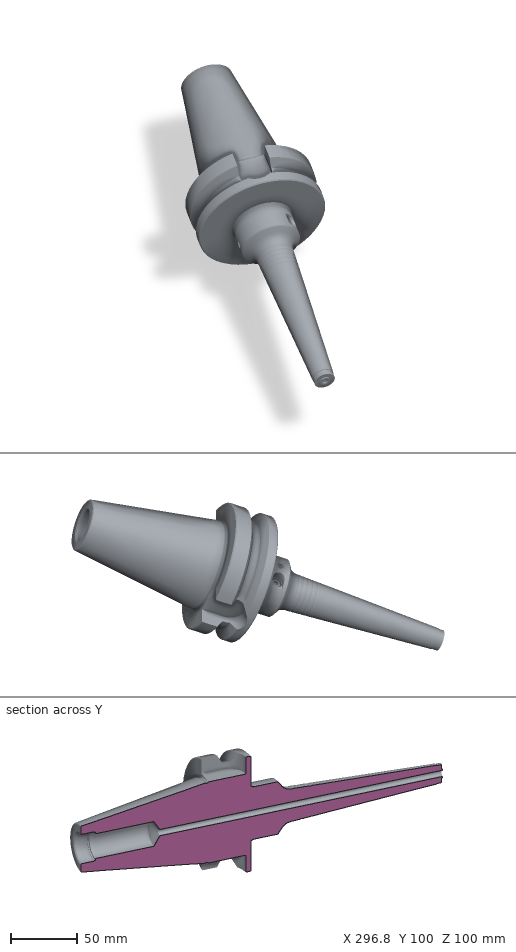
import cadquery as cq
import math


taper_length = 101.8
gauge_dia = 69.85
taper_ratio = 7 / 24
small_end_chamfer = 0.7
small_end_dia = gauge_dia - taper_ratio * taper_length
relief_dia = 68.9
relief_start = 1.5
relief_fillet = 1.2

flange_back = 3.0
flange_front = 38.0
flange_dia = 100.0
flange_chamfer = 0.8
groove_centre = 23.0
groove_floor_dia = 85.2
groove_floor_width = 6.0
groove_flank_angle = 30.0

slot_width = 25.4
slot_floor_height = 35.3
slot_end = 33.4

collar_dia = 47.6
collar_front = 40.0
body_dia = 45.8
body_front = 60.4
body_chamfer = 0.6
shoulder_dia = 37.0
shoulder_front = 63.0
shoulder_arc_x = 65.0
shoulder_arc_dia = 32.6
neck_start = 69.2

neck_start_dia = 28.9
neck_end = 189.8
neck_end_dia = 16.7
tip_dia = 16.0
tip_face = 194.2
nose_dia = 8.4
total_front = 195.0

ring_groove_count = 5
ring_groove_start = 70.0
ring_groove_width = 2.0
ring_groove_pitch = 4.0
ring_groove_depth = 0.2

mouth_dia = 25.0
mouth_depth = 11.0
mouth_chamfer = 0.9
thread_dia = 24.0
bore_dia = 21.0
bore_entry_dia = 21.3
thread_length = 1.0
bore_depth = 60.0
bore_point_angle = 118.0
through_dia = 5.0

screw_x = 51.8
screw_height = 11.8
pocket_width = 9.6
pocket_floor = 15.4
head_dia = 8.4
head_recess = 0.5
head_chamfer = 1.0
head_bore_dia = 9.0
head_bore_depth = 5.0
socket_across_flats = 4.0
socket_depth = 2.0
set_screw_z = -1.1
set_screw_hole_dia = 5.0
set_screw_recess = 1.0
set_screw_seat = 0.5
set_screw_dia = 4.0
set_screw_socket = 2.0
set_screw_socket_depth = 1.5


def revolve_about_x(points):
    """Solid of revolution from (x, radius) points; the outline is closed."""
    return cq.Workplane("XY").polyline(points).close().revolve(360, (0, 0, 0), (1, 0, 0))


def rod(start, end, diameter):
    """Cylinder along X."""
    return cq.Workplane("YZ", origin=(start, 0, 0)).circle(diameter / 2).extrude(end - start)


def neck_radius(x):
    """Radius of the tapered neck at x."""
    share = (x - neck_start) / (neck_end - neck_start)
    return (neck_start_dia + share * (neck_end_dia - neck_start_dia)) / 2


def make_outer_body():
    flange_radius = flange_dia / 2
    floor_radius = groove_floor_dia / 2
    floor_half = groove_floor_width / 2
    flank_run = (flange_radius - floor_radius) * math.tan(math.radians(groove_flank_angle))
    small_end_radius = small_end_dia / 2
    chamfered_radius = small_end_radius + taper_ratio * small_end_chamfer / 2
    relief_radius = relief_dia / 2
    body_radius = body_dia / 2
    fillet_sag = relief_fillet * (1 - math.sqrt(0.5))
    profile = (
        cq.Workplane("XY")
        .moveTo(-taper_length, 0)
        .lineTo(-taper_length, small_end_radius - small_end_chamfer)
        .lineTo(-taper_length + small_end_chamfer, chamfered_radius)
        .lineTo(0, gauge_dia / 2)
        .lineTo(relief_start, relief_radius)
        .lineTo(flange_back - relief_fillet, relief_radius)
        .threePointArc(
            (flange_back - fillet_sag, relief_radius + fillet_sag),
            (flange_back, relief_radius + relief_fillet),
        )
        .lineTo(flange_back, flange_radius - flange_chamfer)
        .lineTo(flange_back + flange_chamfer, flange_radius)
        .lineTo(groove_centre - floor_half - flank_run, flange_radius)
        .lineTo(groove_centre - floor_half, floor_radius)
        .lineTo(groove_centre + floor_half, floor_radius)
        .lineTo(groove_centre + floor_half + flank_run, flange_radius)
        .lineTo(flange_front - flange_chamfer, flange_radius)
        .lineTo(flange_front, flange_radius - flange_chamfer)
        .lineTo(flange_front, collar_dia / 2)
        .lineTo(collar_front, body_radius)
        .lineTo(body_front - body_chamfer, body_radius)
        .lineTo(body_front, body_radius - body_chamfer)
        .lineTo(shoulder_front, shoulder_dia / 2)
        .threePointArc((shoulder_arc_x, shoulder_arc_dia / 2), (neck_start, neck_start_dia / 2))
        .lineTo(neck_end, neck_end_dia / 2)
        .lineTo(neck_end, tip_dia / 2)
        .lineTo(tip_face, tip_dia / 2)
        .lineTo(tip_face, nose_dia / 2)
        .lineTo(total_front, nose_dia / 2)
        .lineTo(total_front, 0)
        .close()
    )
    return profile.revolve(360, (0, 0, 0), (1, 0, 0))


def make_drive_slot(side):
    """Round-ended slot cutter; side is +1 for the top and -1 for the bottom."""
    radius = slot_width / 2
    height = flange_dia / 2
    base = cq.Workplane("XY", origin=(0, 0, side * slot_floor_height))
    outline = (
        base.moveTo(0, -radius)
        .lineTo(slot_end - radius, -radius)
        .threePointArc((slot_end, 0), (slot_end - radius, radius))
        .lineTo(0, radius)
        .close()
    )
    return outline.extrude(side * height)


def make_ring_groove(start):
    """Shallow V-groove ring cutter that begins at x = start."""
    middle = start + ring_groove_width / 2
    end = start + ring_groove_width
    clear = body_dia / 2
    return revolve_about_x([
        (start, clear),
        (start, neck_radius(start)),
        (middle, neck_radius(middle) - ring_groove_depth),
        (end, neck_radius(end)),
        (end, clear),
    ])


def make_axial_bore():
    """Stepped rear bore with a drill-point floor, and the hole through to the nose."""
    step_x = -taper_length + mouth_depth
    thread_end = step_x + thread_length
    bore_end = -taper_length + bore_depth
    point_length = bore_dia / 2 / math.tan(math.radians(bore_point_angle / 2))
    rear = revolve_about_x([
        (-taper_length, 0),
        (-taper_length, mouth_dia / 2 + mouth_chamfer),
        (-taper_length + mouth_chamfer, mouth_dia / 2),
        (step_x, mouth_dia / 2),
        (step_x, thread_dia / 2),
        (thread_end, thread_dia / 2),
        (thread_end, bore_entry_dia / 2),
        (thread_end + thread_length, bore_dia / 2),
        (bore_end, bore_dia / 2),
        (bore_end + point_length, 0),
    ])
    return rear.union(rod(-taper_length, total_front, through_dia))


def hex_socket(across_flats, origin, depth):
    """Hexagonal prism sunk along +Y from origin."""
    corner_dia = across_flats / math.cos(math.radians(30))
    return cq.Workplane("XZ", origin=origin).polygon(6, corner_dia).extrude(-depth)


def make_clamp_pocket():
    """U-shaped pocket on the -Y side, open towards -Z."""
    radius = pocket_width / 2
    reach = body_dia / 2
    depth = reach - pocket_floor
    outline = (
        cq.Workplane("XZ", origin=(screw_x, -pocket_floor, -screw_height))
        .moveTo(-radius, -reach)
        .lineTo(-radius, 0)
        .threePointArc((0, radius), (radius, 0))
        .lineTo(radius, -reach)
        .close()
    )
    return outline.extrude(depth)


def make_head_bore():
    """Counterbore sunk into the pocket floor for the clamp screw head."""
    bore = cq.Workplane("XZ", origin=(screw_x, -pocket_floor, -screw_height))
    return bore.circle(head_bore_dia / 2).extrude(-head_bore_depth)


def make_clamp_screw():
    """Screw head seated in the counterbore, with a hexagonal socket."""
    bottom = cq.Workplane("XZ", origin=(screw_x, head_bore_depth - pocket_floor, -screw_height))
    head = bottom.circle(head_dia / 2).extrude(head_bore_depth - head_recess)
    head = head.faces("<Y").chamfer(head_chamfer)
    top = (screw_x, head_recess - pocket_floor, -screw_height)
    return head.cut(hex_socket(socket_across_flats, top, socket_depth))


def make_set_screw_recess():
    """Stepped round recess on the -Y side ending in the set screw's hexagonal socket."""
    surface = body_dia / 2
    floor = (screw_x, set_screw_recess - surface, set_screw_z)
    recess = cq.Workplane("XZ", origin=floor).circle(set_screw_hole_dia / 2).extrude(surface)
    seat = cq.Workplane("XZ", origin=floor).circle(set_screw_dia / 2).extrude(-set_screw_seat)
    socket = hex_socket(set_screw_socket, floor, set_screw_socket_depth)
    return recess.union(seat).union(socket)


result = make_outer_body()
for slot_side in (1, -1):
    result = result.cut(make_drive_slot(slot_side))
for index in range(ring_groove_count):
    result = result.cut(make_ring_groove(ring_groove_start + index * ring_groove_pitch))
result = result.cut(make_axial_bore())
for turn in (0, 180):
    axis_start, axis_end = (0, 0, 0), (1, 0, 0)
    result = result.cut(make_clamp_pocket().rotate(axis_start, axis_end, turn))
    result = result.cut(make_head_bore().rotate(axis_start, axis_end, turn))
    result = result.union(make_clamp_screw().rotate(axis_start, axis_end, turn))
result = result.cut(make_set_screw_recess())